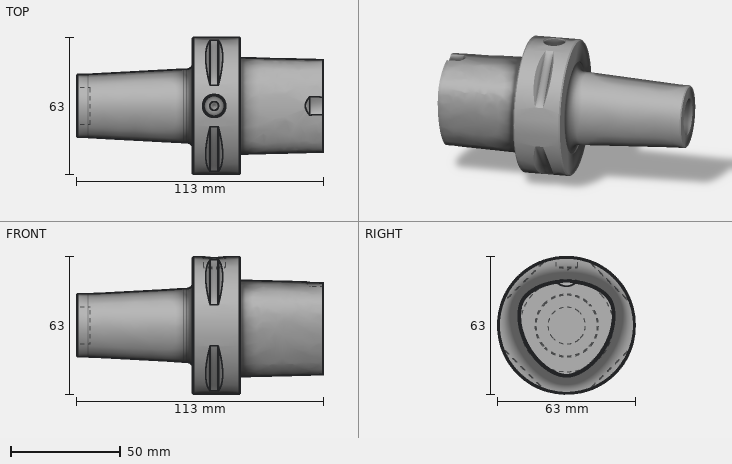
import cadquery as cq
import math


NOSE_LENGTH = 53.0
NOSE_TIP_DIAMETER = 29.0
NOSE_ROOT_DIAMETER = 33.7
NOSE_TIP_CHAMFER = 0.5
NOSE_TIP_STRAIGHT = 5.0
NOSE_ROOT_STRAIGHT = 1.5
BORE_DIAMETER = 17.0
BORE_DEPTH = 6.0

ROOT_FILLET_RADIUS = 3.25
RELIEF_DEPTH = 0.5
RELIEF_DIAMETER = 42.5

FLANGE_DIAMETER = 63.0
FLANGE_WIDTH = 22.0
FLANGE_CHAMFER = 0.6

SHANK_LENGTH = 38.0
SHANK_DIAMETER = 44.3
SHANK_TAPER = 1 / 20
LOBE_ECCENTRICITY = 1.45
PROFILE_POINTS = 48

KEYWAY_CUTTER_DIAMETER = 12.0
KEYWAY_WIDTH = 8.1
KEYWAY_LENGTH = 6.2
KEYWAY_TIP_HALF_ANGLE = 45.0

SLOT_PLANE_X = -12.0
SLOT_COUNT = 4
SLOT_START_ANGLE = 45.0
SLOT_FLOOR_DISTANCE = 27.93
SLOT_FLOOR_WIDTH = 3.4
SLOT_STEP_WIDTH = 4.0
SLOT_STEP_HEIGHT = 0.25
SLOT_FLANK_ANGLE = 30.0

HOLE_DIAMETER = 10.0
HOLE_BEVEL = 0.3
HOLE_DEPTH = 5.0
DRILL_DIAMETER = 4.0
DRILL_TIP_HALF_ANGLE = 59.0

FLANGE_RADIUS = FLANGE_DIAMETER / 2
FLANGE_FACE_X = -FLANGE_WIDTH
TIP_X = FLANGE_FACE_X - NOSE_LENGTH


def make_body():
    """Nose and flange, revolved about X."""
    tip_radius = NOSE_TIP_DIAMETER / 2
    root_radius = NOSE_ROOT_DIAMETER / 2
    relief_radius = RELIEF_DIAMETER / 2
    relief_x = FLANGE_FACE_X + RELIEF_DEPTH
    fillet_start_x = relief_x - ROOT_FILLET_RADIUS
    fillet_end_radius = root_radius + ROOT_FILLET_RADIUS
    arc_offset = ROOT_FILLET_RADIUS * math.sqrt(0.5)
    outline = (
        cq.Workplane("XY")
        .moveTo(TIP_X, 0)
        .lineTo(TIP_X, tip_radius - NOSE_TIP_CHAMFER)
        .lineTo(TIP_X + NOSE_TIP_CHAMFER, tip_radius)
        .lineTo(TIP_X + NOSE_TIP_STRAIGHT, tip_radius)
        .lineTo(fillet_start_x - NOSE_ROOT_STRAIGHT, root_radius)
        .lineTo(fillet_start_x, root_radius)
        .threePointArc(
            (fillet_start_x + arc_offset, fillet_end_radius - arc_offset),
            (relief_x, fillet_end_radius),
        )
        .lineTo(relief_x, relief_radius)
        .lineTo(FLANGE_FACE_X, relief_radius)
        .lineTo(FLANGE_FACE_X, FLANGE_RADIUS - FLANGE_CHAMFER)
        .lineTo(FLANGE_FACE_X + FLANGE_CHAMFER, FLANGE_RADIUS)
        .lineTo(-FLANGE_CHAMFER, FLANGE_RADIUS)
        .lineTo(0, FLANGE_RADIUS - FLANGE_CHAMFER)
        .lineTo(0, 0)
        .close()
    )
    return outline.revolve(360, (0, 0, 0), (1, 0, 0))


def make_nose_bore():
    bore = cq.Workplane("YZ", origin=(TIP_X, 0, 0))
    return bore.circle(BORE_DIAMETER / 2).extrude(BORE_DEPTH)


def shank_profile_points(diameter):
    """Constant-width three-lobed curve with a flat towards +Z and a lobe towards -Z."""
    points = []
    for index in range(PROFILE_POINTS):
        angle = 2 * math.pi * index / PROFILE_POINTS
        z = (
            diameter / 2 * math.cos(angle)
            - 2 * LOBE_ECCENTRICITY * math.cos(2 * angle)
            + LOBE_ECCENTRICITY * math.cos(4 * angle)
        )
        y = (
            diameter / 2 * math.sin(angle)
            + 2 * LOBE_ECCENTRICITY * math.sin(2 * angle)
            + LOBE_ECCENTRICITY * math.sin(4 * angle)
        )
        points.append((y, z))
    return points


def shank_end_diameter():
    return SHANK_DIAMETER - SHANK_LENGTH * SHANK_TAPER


def make_shank():
    return (
        cq.Workplane("YZ")
        .spline(shank_profile_points(SHANK_DIAMETER), periodic=True)
        .close()
        .workplane(offset=SHANK_LENGTH)
        .spline(shank_profile_points(shank_end_diameter()), periodic=True)
        .close()
        .loft(ruled=True)
    )


def make_keyway():
    """Cone-tipped round cutter run in along X from the shank end."""
    radius = KEYWAY_CUTTER_DIAMETER / 2
    flat_height = shank_end_diameter() / 2 - LOBE_ECCENTRICITY
    flat_curvature_radius = shank_end_diameter() / 2 + 8 * LOBE_ECCENTRICITY
    half_width = KEYWAY_WIDTH / 2
    edge_drop = flat_curvature_radius - math.sqrt(flat_curvature_radius**2 - half_width**2)
    axis_z = flat_height - edge_drop + math.sqrt(radius**2 - half_width**2)
    cone_start_x = SHANK_LENGTH - KEYWAY_LENGTH
    cone_length = radius / math.tan(math.radians(KEYWAY_TIP_HALF_ANGLE))
    return (
        cq.Workplane("XZ", origin=(0, 0, axis_z))
        .moveTo(cone_start_x - cone_length, 0)
        .lineTo(cone_start_x, -radius)
        .lineTo(SHANK_LENGTH, -radius)
        .lineTo(SHANK_LENGTH, 0)
        .close()
        .revolve(360, (0, 0, 0), (1, 0, 0))
    )


def make_gripper_slot(angle):
    """Stepped V slot running straight across the flange rim, turned about X."""
    floor_half = SLOT_FLOOR_WIDTH / 2
    step_half = SLOT_STEP_WIDTH / 2
    step_z = SLOT_FLOOR_DISTANCE + SLOT_STEP_HEIGHT
    flank_run = (FLANGE_RADIUS - step_z) * math.tan(math.radians(SLOT_FLANK_ANGLE))
    mouth_half = step_half + flank_run
    slot = (
        cq.Workplane("XZ", origin=(SLOT_PLANE_X, 0, 0))
        .moveTo(-floor_half, SLOT_FLOOR_DISTANCE)
        .lineTo(floor_half, SLOT_FLOOR_DISTANCE)
        .lineTo(step_half, step_z)
        .lineTo(mouth_half, FLANGE_RADIUS)
        .lineTo(-mouth_half, FLANGE_RADIUS)
        .lineTo(-step_half, step_z)
        .close()
        .extrude(FLANGE_RADIUS, both=True)
    )
    return slot.rotate((0, 0, 0), (1, 0, 0), angle)


def make_coolant_hole():
    """Flat-bottomed hole from the top of the flange: bevelled mouth and floor, conical centre."""
    radius = HOLE_DIAMETER / 2
    floor_z = FLANGE_RADIUS - HOLE_DEPTH
    drill_radius = DRILL_DIAMETER / 2
    tip_z = floor_z - drill_radius / math.tan(math.radians(DRILL_TIP_HALF_ANGLE))
    mouth_z = math.sqrt(FLANGE_RADIUS**2 - radius**2)
    mouth_radius = radius + HOLE_BEVEL
    return (
        cq.Workplane("XZ", origin=(SLOT_PLANE_X, 0, 0))
        .moveTo(0, tip_z)
        .lineTo(drill_radius, floor_z)
        .lineTo(radius - HOLE_BEVEL, floor_z)
        .lineTo(radius, floor_z + HOLE_BEVEL)
        .lineTo(radius, mouth_z - HOLE_BEVEL)
        .lineTo(mouth_radius, mouth_z)
        .lineTo(mouth_radius, FLANGE_RADIUS)
        .lineTo(0, FLANGE_RADIUS)
        .close()
        .revolve(360, (0, 0, 0), (0, 1, 0))
    )


holder = make_body().union(make_shank())
holder = holder.cut(make_nose_bore())
holder = holder.cut(make_keyway())
for slot_index in range(SLOT_COUNT):
    slot_angle = SLOT_START_ANGLE + slot_index * 360 / SLOT_COUNT
    holder = holder.cut(make_gripper_slot(slot_angle))
holder = holder.cut(make_coolant_hole())

result = holder